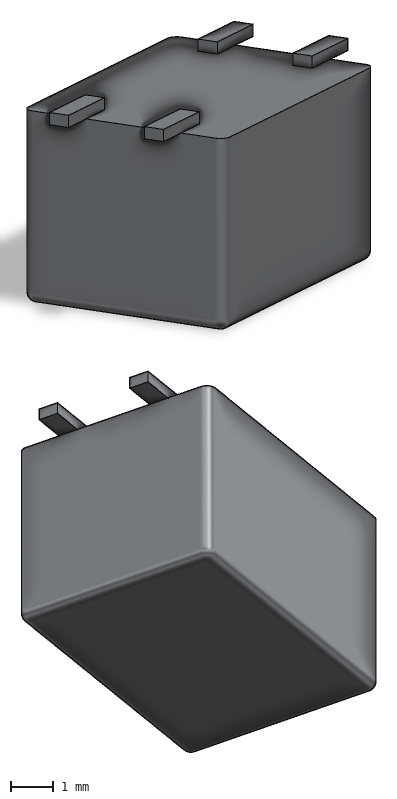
import cadquery as cq

total_length = 9.0
total_height = 5.0

lead_width = 0.51
lead_length = 1.75
lead_thickness = 0.3
lead_pitch = 2.54

body_width = 5.4
body_length = 7.3
body_height = total_height - lead_thickness
edge_radius = 0.25


def make_body():
    """Block with rounded upright edges and a rounded bottom rim."""
    block = cq.Workplane("XY").box(body_width, body_length, body_height, centered=(True, True, False))
    return block.edges("|Z").fillet(edge_radius).faces("<Z").edges().fillet(edge_radius)


def make_leads():
    """Four flat bars, two overhanging each end of the body."""
    row_spacing = total_length - lead_length
    return (
        cq.Workplane("XY", origin=(0, 0, body_height))
        .rarray(lead_pitch, row_spacing, 2, 2)
        .rect(lead_width, lead_length)
        .extrude(lead_thickness)
    )


result = make_body().union(make_leads())